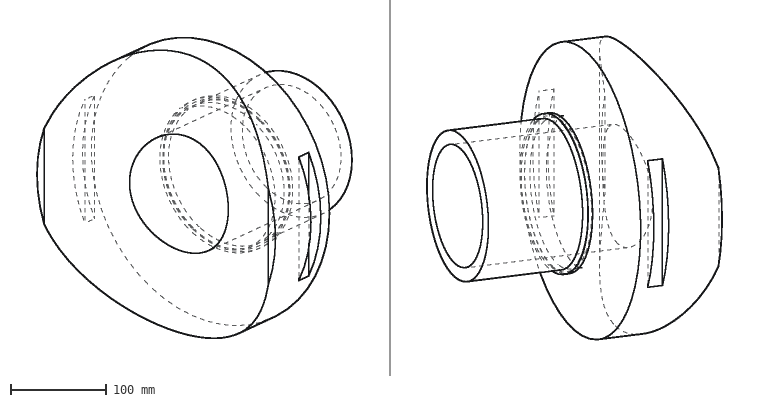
import cadquery as cq

flange_diameter = 315.0
flange_thickness = 93.5
saddle_depth = 48.0
saddle_half_width = 148.0
saddle_radius = (saddle_half_width**2 + saddle_depth**2) / (2 * saddle_depth)

overall_length = 234.0
tube_diameter = 160.3
bore_diameter = 130.5
root_fillet = 10.0

bead_setback = 22.5
bead_width = 5.0
bead_height = 5.0
bead_count = 2

slot_setback = 15.0
slot_width = 17.0
slot_depth = 16.0

flange_back = flange_thickness
flange_radius = flange_diameter / 2
tube_radius = tube_diameter / 2


def revolve_about_y(profile):
    return profile.close().revolve(360, (0, 0, 0), (0, 1, 0))


def make_body():
    """Flange and tube, blended by a concave fillet."""
    return revolve_about_y(
        cq.Workplane("XY")
        .lineTo(flange_radius, 0)
        .lineTo(flange_radius, flange_back)
        .lineTo(tube_radius + root_fillet, flange_back)
        .radiusArc((tube_radius, flange_back + root_fillet), root_fillet)
        .lineTo(tube_radius, overall_length)
        .lineTo(0, overall_length)
    )


def make_beads():
    """Touching rings around the tube, each with a half-round crown."""
    bead_radius = bead_width / 2
    crown_base = tube_radius + bead_height - bead_radius
    outline = cq.Workplane("XY").moveTo(0, flange_back + bead_setback)
    outline = outline.lineTo(crown_base, flange_back + bead_setback)
    for index in range(bead_count):
        bead_start = flange_back + bead_setback + index * bead_width
        outline = outline.threePointArc(
            (crown_base + bead_radius, bead_start + bead_radius),
            (crown_base, bead_start + bead_width),
        )
    return revolve_about_y(outline.lineTo(0, flange_back + bead_setback + bead_count * bead_width))


def make_saddle():
    """Cylinder along Z whose surface hollows the flange front."""
    return (
        cq.Workplane("XY")
        .center(0, saddle_depth - saddle_radius)
        .circle(saddle_radius)
        .extrude(flange_radius, both=True)
    )


def make_slot(side):
    """Slot through the full height of the flange on one side (+1 or -1 in X)."""
    slot_x = side * (flange_radius - slot_depth / 2)
    slot_y = flange_back - slot_setback - slot_width / 2
    return cq.Workplane("XY").box(slot_depth, slot_width, flange_diameter).translate((slot_x, slot_y, 0))


bore = cq.Workplane("XZ").circle(bore_diameter / 2).extrude(-overall_length)

result = make_body().union(make_beads()).cut(make_saddle()).cut(bore)
for side in (-1, 1):
    result = result.cut(make_slot(side))